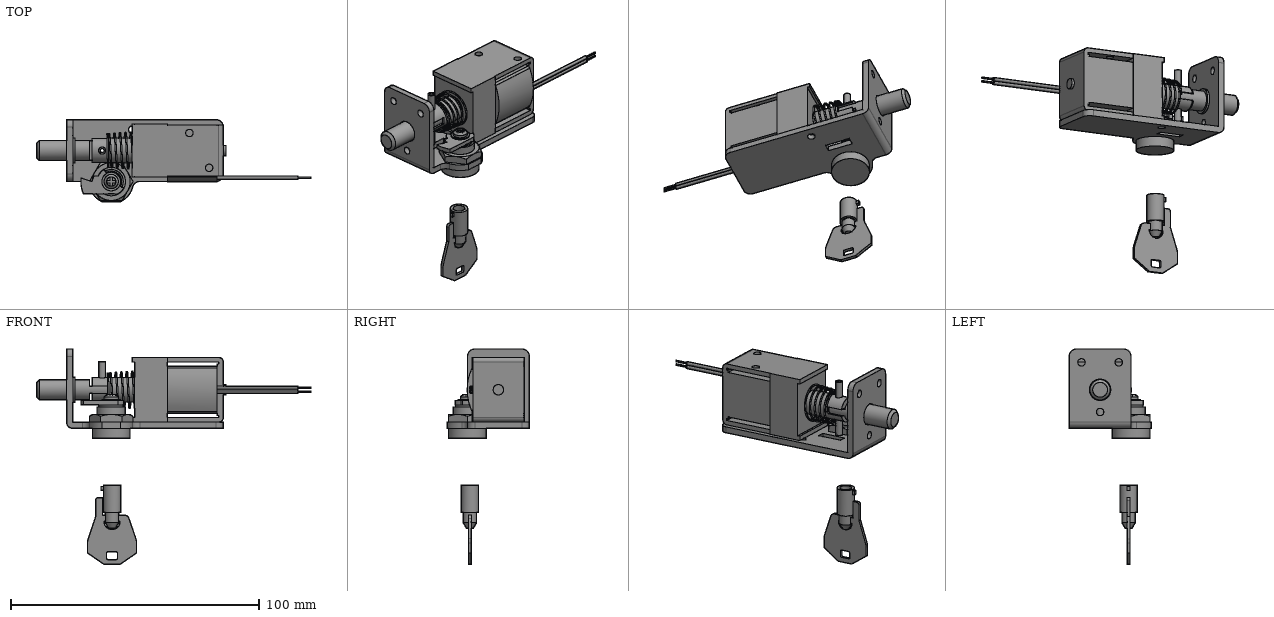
import cadquery as cq
import math


sheet = 2.5
bracket_length = 63.2
bracket_half_width = 12.5
bracket_top = 16.5
frame_half_height = 13.0
plate_top = -frame_half_height
plate_bottom = plate_top - sheet
corner_radius = 3.0
bend_radius = sheet
screw_hole_diameter = 3.0
flange_hole_y = 7.5
flange_hole_z = 11.0
lower_hole_z = -9.0
plate_hole_x = 26.5
plate_hole_y = 8.4
bolt_hole_radius = 4.3
pin_slot_start = 12.8
pin_slot_end = 23.1
pin_slot_width = 3.1
ear_radius = 9.0
ear_front_y = -20.7
ear_blend_radius = 3.0

lock_x = 18.0
lock_y = -bracket_half_width
head_radius = 7.6
head_height = 4.0
thread_radius = 5.7
thread_top = -6.9
lock_nut_flats = 15.2
lock_nut_height = 3.1
lock_nut_bevel = 0.8
neck_radius = 4.9
cam_bottom = -6.1
cam_top = -4.3
cam_hub_radius = 5.6
cam_tail_radius = 12.3
cam_straight_y = -5.0
cam_hook_y = 1.4
cam_notch_x = -7.8
cam_notch_side = (-6.9, 2.3)
cam_step_radius = 4.2
cam_step_start = -27
cam_step_end = 120
washer_radius = 3.8
washer_top = -3.9
screw_radius = 2.9
screw_top = -1.9
screw_bevel = 1.0
cross_length = 3.5
cross_width = 1.0
cross_depth = 0.9

frame_front = 26.4
frame_back = bracket_length
frame_sheet = 1.9
frame_half_width = 10.3
pole_front = 27.4
pole_back = 40.7
pole_half_width = 10.6
frame_corner_radius = 1.9
frame_hole_places = [(49.5, 7.1), (57.5, -7.0)]
coil_half_height = 9.5
coil_bevel = 0.8
coil_bulge_y = -12.6
bobbin_half_height = 10.4
bobbin_thickness = 0.7
nub_radius = 2.1
nub_length = 1.1
wire_radius = 0.75
wire_y = -10.9
wire_end = 93.3
core_radius = 0.3
core_end = 98.5

bolt_radius = 4.1
bolt_tip = -12.0
bolt_bevel = 1.1
bolt_shoulder = 9.3
tongue_thickness = 2.9
clip_radius = 5.1
clip_thickness = 0.9
plunger_radius = 5.0
plunger_front = 10.3
slot_end = 16.6
pin_x = 14.4
pin_radius = 1.4
pin_bore_radius = 0.8
pin_half_length = 11.4
spring_front = 16.5
spring_dead_rise = 0.7
spring_pitch = 2.2
spring_turns = 5.9
spring_front_radius = 6.5
spring_back_radius = 7.4
spring_wire_radius = 0.28
spring_points_per_turn = 12

key_x = 18.3
key_y = -11.5
key_thickness = 1.2
barrel_radius = 3.5
barrel_bore_radius = 2.3
barrel_top = -38.5
barrel_bottom = -49.4
shank_radius = 2.8
shank_bottom = -53.5
tip_radius = 1.4
tip_bottom = -55.8
lug_length = 1.0
lug_height = 1.7
lug_top = -38.9
overall_height = 86.9
key_bottom = bracket_top - overall_height
blade_half_width = 10.0
blade_foot_half_width = 3.2
blade_foot_height = 4.6
blade_side_top = -60.9
blade_shoulder_z = -50.5
blade_shoulder_half_width = 6.4
blade_shoulder_radius = 2.0
blade_side_radius = 5.5
arm_half_width = 6.6
arm_inner = 3.8
arm_top = -43.4
arm_bend_z = -51.0
arm_corner_radius = 1.1
notch_radius = 3.2
notch_z = -53.0
ring_hole_width = 4.3
ring_hole_height = 3.1
ring_hole_z = -66.9
ring_hole_radius = 0.5

OVERLAP = 0.5
FRONT = (0, -1, 0)
UP = (0, 0, 1)


def box(x_min, x_max, y_min, y_max, z_min, z_max):
    size = (x_max - x_min, y_max - y_min, z_max - z_min)
    return cq.Workplane("XY", origin=(x_min, y_min, z_min)).box(*size, centered=False)


def cylinder_x(radius, x_min, x_max, y=0, z=0, seam=FRONT):
    plane = cq.Plane(origin=(x_min, y, z), xDir=seam, normal=(1, 0, 0))
    return cq.Workplane(plane).circle(radius).extrude(x_max - x_min)


def cylinder_z(radius, x, y, z_min, z_max):
    plane = cq.Plane(origin=(x, y, z_min), xDir=FRONT, normal=UP)
    return cq.Workplane(plane).circle(radius).extrude(z_max - z_min)


def make_ear_plate():
    """Round ear under the lock, blended into the plate edge and cut flat at its front."""
    blend_x = math.sqrt((ear_radius + ear_blend_radius) ** 2 - ear_blend_radius ** 2)
    share = ear_radius / (ear_radius + ear_blend_radius)
    tangent_x = blend_x * share
    tangent_y = -ear_blend_radius * share
    middle_angle = (math.pi / 2 + math.atan2(blend_x, ear_blend_radius)) / 2
    middle_x = blend_x - ear_blend_radius * math.cos(middle_angle)
    middle_y = ear_blend_radius * (math.sin(middle_angle) - 1)
    flat_y = ear_front_y - lock_y
    flat_x = math.sqrt(ear_radius ** 2 - flat_y ** 2)
    side_angle = (math.atan2(-tangent_y, tangent_x) + math.atan2(-flat_y, flat_x)) / 2
    side_x = ear_radius * math.cos(side_angle)
    side_y = -ear_radius * math.sin(side_angle)
    return (
        cq.Workplane("XY", origin=(lock_x, lock_y, plate_bottom))
        .moveTo(-blend_x, 0)
        .threePointArc((-middle_x, middle_y), (-tangent_x, tangent_y))
        .threePointArc((-side_x, side_y), (-flat_x, flat_y))
        .lineTo(flat_x, flat_y)
        .threePointArc((side_x, side_y), (tangent_x, tangent_y))
        .threePointArc((middle_x, middle_y), (blend_x, 0))
        .lineTo(blend_x, OVERLAP)
        .lineTo(-blend_x, OVERLAP)
        .close()
        .extrude(sheet)
    )


def make_bracket():
    width = (-bracket_half_width, bracket_half_width)
    flange = box(0, sheet, *width, plate_bottom, bracket_top)
    flange = flange.edges("|X and >Z").fillet(corner_radius)
    plate = box(0, bracket_length, *width, plate_bottom, plate_top)
    plate = plate.edges("|Z and >X").fillet(corner_radius)
    bracket = flange.union(plate).edges("|Y and <X and <Z").fillet(bend_radius)
    bracket = bracket.union(make_ear_plate())

    flange_holes = (
        cq.Workplane("YZ")
        .pushPoints([(flange_hole_y, flange_hole_z), (-flange_hole_y, flange_hole_z), (0, lower_hole_z)])
        .circle(screw_hole_diameter / 2)
        .extrude(sheet)
    )
    bolt_hole = cylinder_x(bolt_hole_radius, 0, sheet, seam=UP)
    lock_hole = cylinder_z(thread_radius, lock_x, lock_y, plate_bottom, plate_top)
    plate_hole = (
        cq.Workplane("XY", origin=(plate_hole_x, plate_hole_y, plate_bottom))
        .circle(screw_hole_diameter / 2)
        .extrude(sheet)
    )
    pin_slot = box(
        pin_slot_start, pin_slot_end, -pin_slot_width / 2, pin_slot_width / 2, plate_bottom, plate_top
    )
    for opening in (flange_holes, bolt_hole, lock_hole, plate_hole, pin_slot):
        bracket = bracket.cut(opening)
    return bracket


def make_frame():
    """Bent sheet around the coil, closed at the front by the pole block."""
    front_outer = box(
        frame_front, pole_back, -pole_half_width, pole_half_width, -frame_half_height, frame_half_height
    )
    back_outer = box(
        pole_back, frame_back, -frame_half_width, frame_half_width, -frame_half_height, frame_half_height
    )
    back_outer = back_outer.edges("|Y and >X").fillet(frame_corner_radius)
    inner_half_height = frame_half_height - frame_sheet
    inside = box(
        frame_front, frame_back - frame_sheet,
        -pole_half_width, pole_half_width, -inner_half_height, inner_half_height,
    )
    pole = box(
        pole_front, pole_back, -pole_half_width, pole_half_width, -frame_half_height, frame_half_height
    )
    holes = (
        cq.Workplane("XY", origin=(0, 0, inner_half_height))
        .pushPoints(frame_hole_places)
        .circle(screw_hole_diameter / 2)
        .extrude(frame_sheet)
    )
    nub = cylinder_x(nub_radius, frame_back - OVERLAP, frame_back + nub_length, seam=UP)
    return front_outer.union(back_outer).cut(inside).cut(holes).union(pole).union(nub)


def make_coil():
    """Coil with a bulged front face, and the bobbin end plate behind it."""
    back_x = frame_back - frame_sheet
    coil_end = back_x - bobbin_thickness
    edge_z = coil_half_height - coil_bevel
    coil = (
        cq.Workplane("YZ", origin=(pole_back, 0, 0))
        .moveTo(frame_half_width, -coil_half_height)
        .lineTo(frame_half_width, coil_half_height)
        .lineTo(-pole_half_width + coil_bevel, coil_half_height)
        .lineTo(-pole_half_width, edge_z)
        .threePointArc((coil_bulge_y, 0), (-pole_half_width, -edge_z))
        .lineTo(-pole_half_width + coil_bevel, -coil_half_height)
        .close()
        .extrude(coil_end - pole_back)
    )
    end_plate = box(
        coil_end, back_x, -frame_half_width, frame_half_width, -bobbin_half_height, bobbin_half_height
    )
    return coil.union(end_plate)


def make_wire(z):
    """One lead with its bare core at the end."""
    wire_start = frame_back - frame_sheet - bobbin_thickness - OVERLAP
    cover = cylinder_x(wire_radius, wire_start, wire_end, wire_y, z)
    core = cylinder_x(core_radius, wire_end - OVERLAP, core_end, wire_y, z)
    return cover.union(core)


def make_bolt():
    """Bolt with a flat tongue held in the slotted plunger by a hollow cross pin."""
    bolt = cylinder_x(bolt_radius, bolt_tip, slot_end).faces("<X").chamfer(bolt_bevel)
    half_tongue = tongue_thickness / 2
    for z_min, z_max in ((half_tongue, bolt_radius), (-bolt_radius, -half_tongue)):
        bolt = bolt.cut(box(bolt_shoulder, slot_end, -bolt_radius, bolt_radius, z_min, z_max))
    clip = cylinder_x(clip_radius, sheet, sheet + clip_thickness, seam=UP)
    slot = box(plunger_front, slot_end, -plunger_radius, plunger_radius, -half_tongue, half_tongue)
    plunger = cylinder_x(plunger_radius, plunger_front, pole_front + OVERLAP).cut(slot)
    pin = cylinder_z(pin_radius, pin_x, 0, -pin_half_length, pin_half_length)
    pin_bore = cylinder_z(pin_bore_radius, pin_x, 0, -pin_half_length, pin_half_length)
    return bolt.union(clip).union(plunger).union(pin).cut(pin_bore)


def spring_point(turn):
    """Centre of the spring wire after this many turns; the first turn is nearly closed."""
    if turn < 1:
        x = spring_front + spring_dead_rise * turn
    else:
        x = spring_front + spring_dead_rise + spring_pitch * (turn - 1)
    radius = spring_front_radius + (spring_back_radius - spring_front_radius) * turn / spring_turns
    angle = 2 * math.pi * turn
    return cq.Vector(x, radius * math.cos(angle), radius * math.sin(angle))


def make_spring():
    """Widening return spring whose last coil is set into the pole block."""
    steps = round(spring_turns * spring_points_per_turn)
    points = [spring_point(spring_turns * i / steps) for i in range(steps + 1)]
    path = cq.Workplane("XY").spline(points)
    start_plane = cq.Plane(origin=points[0], normal=points[1] - points[0])
    return cq.Workplane(start_plane).circle(spring_wire_radius).sweep(path, isFrenet=True)


def make_solenoid():
    solenoid = make_frame().union(make_coil()).union(make_bolt())
    for z in (wire_radius, -wire_radius):
        solenoid = solenoid.union(make_wire(z))
    return solenoid.union(make_spring())


def make_lock_nut():
    """Hexagon nut on the plate with its upper corners turned off."""
    point_radius = lock_nut_flats / math.sqrt(3)
    nut = (
        cq.Workplane("XY", origin=(lock_x, lock_y, plate_top))
        .polygon(6, 2 * point_radius)
        .extrude(lock_nut_height)
    )
    bevel = point_radius - lock_nut_flats / 2
    turned = cylinder_z(point_radius, lock_x, lock_y, plate_top, plate_top + lock_nut_height)
    turned = turned.faces(">Z").chamfer(lock_nut_bevel, bevel)
    return nut.intersect(turned)


def make_cam():
    """Cam with a hooked tail toward -X and a stepped rim around its far side."""
    thickness = cam_top - cam_bottom
    plane = cq.Workplane("XY", origin=(lock_x, lock_y, cam_bottom))
    tail_lower_x = -math.sqrt(cam_tail_radius ** 2 - cam_straight_y ** 2)
    tail_upper_x = -math.sqrt(cam_tail_radius ** 2 - cam_hook_y ** 2)
    tail = (
        plane.moveTo(0, cam_straight_y)
        .lineTo(tail_lower_x, cam_straight_y)
        .threePointArc((-cam_tail_radius, 0), (tail_upper_x, cam_hook_y))
        .lineTo(cam_notch_x, 0)
        .lineTo(*cam_notch_side)
        .lineTo(0, cam_notch_side[1])
        .close()
        .extrude(thickness)
    )
    hub = cylinder_z(cam_hub_radius, lock_x, lock_y, cam_bottom, cam_top)
    below_tail = plane.rect(4 * cam_hub_radius, 2 * cam_hub_radius).extrude(thickness)
    below_tail = below_tail.translate((0, cam_straight_y - cam_hub_radius, 0))
    hub = hub.cut(below_tail)

    def at(radius, degrees):
        angle = math.radians(degrees)
        return (radius * math.cos(angle), radius * math.sin(angle))

    outer = cam_hub_radius + OVERLAP
    middle = (cam_step_start + cam_step_end) / 2
    step = (
        plane.moveTo(*at(cam_step_radius, cam_step_start))
        .threePointArc(at(cam_step_radius, middle), at(cam_step_radius, cam_step_end))
        .lineTo(*at(outer, cam_step_end))
        .threePointArc(at(outer, middle), at(outer, cam_step_start))
        .close()
        .extrude(thickness)
    )
    return hub.union(tail).cut(step)


def make_cam_screw():
    """Washer and cross-recessed screw that hold the cam."""
    washer = cylinder_z(washer_radius, lock_x, lock_y, cam_top, washer_top)
    screw = cylinder_z(screw_radius, lock_x, lock_y, washer_top, screw_top)
    screw = screw.faces(">Z").chamfer(screw_bevel)
    recess = cq.Workplane("XY", origin=(lock_x, lock_y, screw_top - cross_depth))
    for size in ((cross_length, cross_width), (cross_width, cross_length)):
        screw = screw.cut(recess.rect(*size).extrude(cross_depth))
    return washer.union(screw)


def make_lock():
    head = cylinder_z(head_radius, lock_x, lock_y, plate_bottom - head_height, plate_bottom)
    thread = cylinder_z(thread_radius, lock_x, lock_y, plate_bottom, thread_top)
    neck = cylinder_z(neck_radius, lock_x, lock_y, thread_top, cam_bottom)
    lock = head.union(thread).union(neck)
    return lock.union(make_lock_nut()).union(make_cam()).union(make_cam_screw())


def make_blade():
    """Flat grip with an upright arm, a half-round notch and a key-ring hole."""
    plane = cq.Workplane("XZ", origin=(key_x, key_y + key_thickness / 2, 0))
    foot_top = key_bottom + blade_foot_height
    blade = (
        plane.moveTo(-blade_foot_half_width, key_bottom)
        .lineTo(blade_foot_half_width, key_bottom)
        .lineTo(blade_half_width, foot_top)
        .lineTo(blade_half_width, blade_side_top)
        .lineTo(blade_shoulder_half_width, blade_shoulder_z)
        .lineTo(-arm_inner, blade_shoulder_z)
        .lineTo(-arm_inner, arm_top)
        .lineTo(-arm_half_width, arm_top)
        .lineTo(-arm_half_width, arm_bend_z)
        .lineTo(-blade_half_width, blade_side_top)
        .lineTo(-blade_half_width, foot_top)
        .close()
        .extrude(key_thickness)
    )

    def edge_at(x, z):
        return cq.selectors.NearestToPointSelector((key_x + x, key_y, z))

    blade = blade.edges(edge_at(-arm_half_width, arm_top)).fillet(arm_corner_radius)
    blade = blade.edges(edge_at(blade_shoulder_half_width, blade_shoulder_z)).fillet(blade_shoulder_radius)
    for x in (-blade_half_width, blade_half_width):
        blade = blade.edges(edge_at(x, blade_side_top)).fillet(blade_side_radius)

    notch = (
        plane.moveTo(-notch_radius, notch_z)
        .threePointArc((0, notch_z - notch_radius), (notch_radius, notch_z))
        .close()
        .extrude(key_thickness)
    )
    ring_hole = plane.center(0, ring_hole_z).rect(ring_hole_width, ring_hole_height).extrude(key_thickness)
    ring_hole = ring_hole.edges("|Y").fillet(ring_hole_radius)
    return blade.cut(notch).cut(ring_hole)


def make_key():
    """Tubular barrel with a lug, on a pointed shank set into the blade."""
    barrel = cylinder_z(barrel_radius, key_x, key_y, barrel_bottom, barrel_top)
    bore = cylinder_z(barrel_bore_radius, key_x, key_y, barrel_bottom, barrel_top)
    shank = cylinder_z(shank_radius, key_x, key_y, tip_bottom, barrel_bottom)
    shank = shank.faces("<Z").chamfer(shank_bottom - tip_bottom, shank_radius - tip_radius)
    half = key_thickness / 2
    lug_left = key_x - barrel_radius - lug_length
    lug_right = key_x - barrel_bore_radius - OVERLAP
    lug = box(lug_left, lug_right, key_y - half, key_y + half, lug_top - lug_height, lug_top)
    return barrel.cut(bore).union(shank).union(make_blade()).union(lug)


bracket = make_bracket()
solenoid = make_solenoid()
lock = make_lock()
key = make_key()

result = cq.Compound.makeCompound([body.solids().val() for body in (bracket, solenoid, lock, key)])